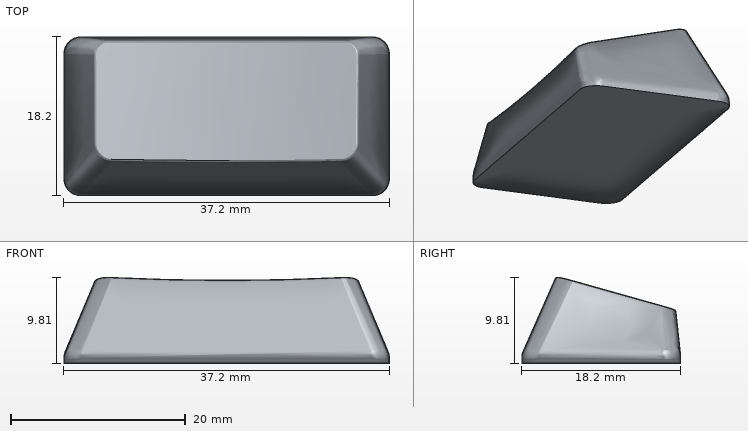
import cadquery as cq
import math

length = 37.2
width = 18.15
skirt_height = 1.0
corner_radius = 1.97
skirt_blend_radius = 1.85

side_inset = 3.57
front_inset = 4.0
back_inset = 0.55
front_top_height = 10.0
back_top_height = 6.18
front_top_corner_radius = 2.0
back_top_corner_radius = 1.55

dish_edge_depth = 0.05
dish_sag = 0.45
rim_radius = 0.3

top_length = length - 2 * side_inset
top_run = width - front_inset - back_inset
top_rise = front_top_height - back_top_height
top_width = math.hypot(top_run, top_rise)

top_plane = cq.Plane(
    origin=(0, (front_inset - back_inset) / 2, (front_top_height + back_top_height) / 2),
    xDir=(1, 0, 0),
    normal=(0, top_rise, top_run),
)


def rounded_wire(plane, size_x, size_y, front_radius, back_radius):
    """Rectangle centred on a plane, rounded separately at its front and back corners."""
    half_x = size_x / 2
    half_y = size_y / 2
    front_diagonal = front_radius * (1 - math.sqrt(0.5))
    back_diagonal = back_radius * (1 - math.sqrt(0.5))
    outline = (
        cq.Workplane(plane)
        .moveTo(front_radius - half_x, -half_y)
        .lineTo(half_x - front_radius, -half_y)
        .threePointArc((half_x - front_diagonal, front_diagonal - half_y), (half_x, front_radius - half_y))
        .lineTo(half_x, half_y - back_radius)
        .threePointArc((half_x - back_diagonal, half_y - back_diagonal), (half_x - back_radius, half_y))
        .lineTo(back_radius - half_x, half_y)
        .threePointArc((back_diagonal - half_x, half_y - back_diagonal), (-half_x, half_y - back_radius))
        .lineTo(-half_x, front_radius - half_y)
        .threePointArc((front_diagonal - half_x, front_diagonal - half_y), (front_radius - half_x, -half_y))
        .close()
    )
    return outline.val()


def make_skirt(base_wire):
    """Upright band around the bottom."""
    return cq.Workplane(cq.Solid.extrudeLinear(base_wire, [], cq.Vector(0, 0, skirt_height)))


def make_walls(base_wire):
    """Straight-ruled walls from the skirt up to the tilted top."""
    skirt_top_wire = base_wire.translate(cq.Vector(0, 0, skirt_height))
    top_wire = rounded_wire(
        top_plane, top_length, top_width, front_top_corner_radius, back_top_corner_radius
    )
    return cq.Workplane(cq.Solid.makeLoft([skirt_top_wire, top_wire], True))


def blend_skirt(body):
    """Round the crease where the walls meet the skirt."""
    margin = 0.05
    crease = cq.selectors.BoxSelector(
        (-length, -width, skirt_height - margin), (length, width, skirt_height + margin)
    )
    return body.edges(crease).fillet(skirt_blend_radius)


def cut_dish(body):
    """Hollow the top with a long cylinder along its slope, then round the rim."""
    dish_radius = ((top_length / 2) ** 2 + dish_sag**2) / (2 * dish_sag)
    axis_start = top_plane.toWorldCoords((0, -width, dish_radius - dish_sag - dish_edge_depth))
    dish = cq.Solid.makeCylinder(dish_radius, 2 * width, axis_start, top_plane.yDir)
    body = body.cut(cq.Workplane(dish))
    dish_face = body.faces("%CYLINDER").sort(lambda face: -face.Area())[0]
    return dish_face.edges().fillet(rim_radius)


base_wire = rounded_wire(cq.Plane.XY(), length, width, corner_radius, corner_radius)
body = make_skirt(base_wire).union(make_walls(base_wire))
result = cut_dish(blend_skirt(body))